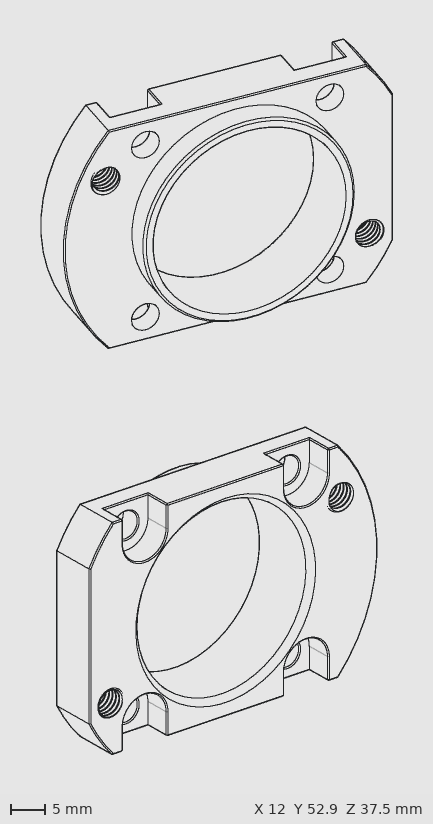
import cadquery as cq
import math

flange_radius = 27.95
flat_offset = 24.95
height = 37.5
plate_thickness = 8.0
edge_break = 0.2

total_depth = 12.0
spigot_radius = 17.0
spigot_chamfer = 0.35
bore_radius = 15.5
bore_chamfer = 1.0

bolt_offset = 14.8
seat_radius = 4.0
seat_depth = 4.5
bolt_hole_radius = 2.2
bolt_positions = [(y, z) for y in (-bolt_offset, bolt_offset) for z in (-bolt_offset, bolt_offset)]

thread_y = 21.05
thread_z = 10.5
thread_pitch = 0.8
thread_major_radius = 2.5
thread_height = thread_pitch * math.sqrt(3) / 2
thread_minor_radius = thread_major_radius - thread_height * 5 / 8
thread_overlap = 0.1
thread_start_angle = -45


def rod(radius, start, end, y=0, z=0):
    """Cylinder along X between two x positions."""
    return cq.Workplane("YZ", origin=(start, y, z)).circle(radius).extrude(end - start)


def countersink(radius, size, start, y=0, z=0):
    """45 degree cone that chamfers the -X mouth of a hole."""
    cone = cq.Solid.makeCone(radius + size, radius, size, cq.Vector(start, y, z), cq.Vector(1, 0, 0))
    return cq.Workplane(cone)


def make_plate():
    """Disc trimmed flat at the top, the bottom and the +Y side."""
    trim = cq.Workplane("XY").box(
        plate_thickness, flange_radius + flat_offset, height, centered=(False, False, True)
    )
    return rod(flange_radius, 0, plate_thickness).intersect(trim.translate((0, -flange_radius, 0)))


def make_seat(y, z):
    """Round-ended pocket that runs out through the nearest horizontal edge."""
    channel_length = height / 2
    channel_middle = z + math.copysign(channel_length / 2, z)
    channel = cq.Workplane("XY").box(
        seat_depth, 2 * seat_radius, channel_length, centered=(False, True, True)
    )
    return rod(seat_radius, 0, seat_depth, y, z).union(channel.translate((0, y, channel_middle)))


def break_edges(plate):
    """Chamfer both face outlines, and the seat edges on the top and bottom."""
    outlines = plate.faces("<X or >X").edges().vals()
    half_width = bolt_offset + seat_radius + edge_break
    seat_zone = cq.selectors.BoxSelector(
        (edge_break, -half_width, -height), (seat_depth + edge_break, half_width, height)
    )
    seat_edges = plate.faces("<Z or >Z").edges(seat_zone).vals()
    return plate.newObject(outlines + seat_edges).chamfer(edge_break)


def make_bolt_hole(y, z):
    """Through hole with a broken edge at the seat floor."""
    mouth = countersink(bolt_hole_radius, edge_break, seat_depth, y, z)
    return rod(bolt_hole_radius, seat_depth, plate_thickness, y, z).union(mouth)


def make_thread():
    """Tapped hole at the -Y position: minor bore plus helical groove, one pitch too long at each end."""
    length = plate_thickness + 2 * thread_pitch
    crest_half = thread_pitch * 3 / 8 + thread_overlap / math.sqrt(3)
    root_half = thread_pitch / 16
    inner = thread_minor_radius - thread_overlap
    helix = cq.Wire.makeHelix(thread_pitch, length, thread_minor_radius)
    groove = (
        cq.Workplane("XZ")
        .polyline([
            (inner, -crest_half),
            (thread_major_radius, -root_half),
            (thread_major_radius, root_half),
            (inner, crest_half),
        ])
        .close()
        .sweep(cq.Workplane(helix), isFrenet=True)
    )
    core = cq.Workplane("XY").circle(thread_minor_radius).extrude(length)
    return (
        core.union(groove)
        .translate((0, 0, -thread_pitch))
        .rotate((0, 0, 0), (0, 1, 0), 90)
        .rotate((0, 0, 0), (1, 0, 0), thread_start_angle)
        .translate((0, -thread_y, thread_z))
    )


plate = make_plate()
for y, z in bolt_positions:
    plate = plate.cut(make_seat(y, z))
plate = break_edges(plate)

spigot = rod(spigot_radius, plate_thickness, total_depth).faces(">X").edges().chamfer(spigot_chamfer)
bore = rod(bore_radius, 0, total_depth).union(countersink(bore_radius, bore_chamfer, 0))
result = plate.union(spigot).cut(bore)

for y, z in bolt_positions:
    result = result.cut(make_bolt_hole(y, z))

thread = make_thread()
for angle in (0, 180):
    result = result.cut(thread.rotate((0, 0, 0), (1, 0, 0), angle))